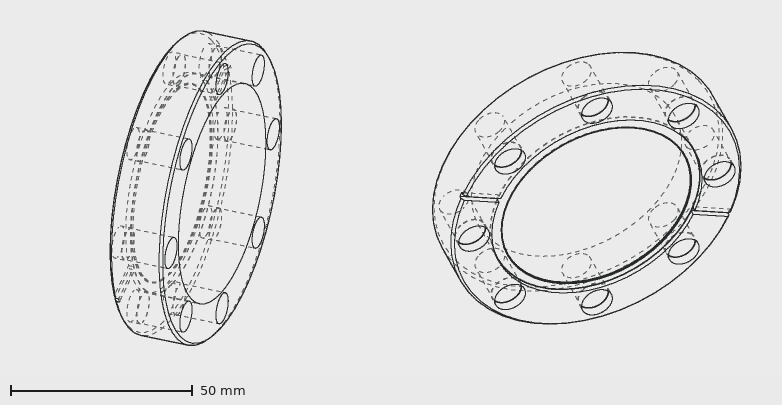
import cadquery as cq
import math

flange_diameter = 85.6
thickness = 15.75
front_x = -thickness / 2
rim_chamfer = 0.8

hole_count = 8
bolt_circle_radius = 36.2
hole_radius = 4.4
counterbore_radius = 4.5
counterbore_depth = 2.9

groove_width = 1.4
groove_depth = 1.6
groove_angle = 22.5

bore_radius = 31.0
seat_land = 0.2
cone_foot_radius = bore_radius - seat_land
knife_radius = 28.1
knife_land = 0.25
knife_slope = 20.0
seat_depth = 1.45
knife_height = (cone_foot_radius - knife_radius) * math.tan(math.radians(knife_slope))
center_recess_depth = 0.4


def x_cylinder(radius, length, start_x):
    """Cylinder about the X axis, running toward +X from start_x."""
    return cq.Workplane("YZ", origin=(start_x, 0, 0)).circle(radius).extrude(length)


def bolt_hole_cutter():
    """Counterbored holes, evenly spaced on the bolt circle."""
    def holes(radius, depth):
        return (
            cq.Workplane("YZ", origin=(front_x, 0, 0))
            .polarArray(bolt_circle_radius, 0, 360, hole_count)
            .circle(radius)
            .extrude(depth)
        )

    return holes(hole_radius, thickness).union(holes(counterbore_radius, counterbore_depth))


def groove_cutter():
    """One bar across the whole face, leaving two opposite grooves in the ring."""
    return (
        cq.Workplane("YZ", origin=(front_x, 0, 0))
        .rect(flange_diameter, groove_width)
        .extrude(groove_depth)
        .rotate((0, 0, 0), (1, 0, 0), groove_angle)
    )


def make_ring():
    """Chamfered outer ring with bolt holes and leak-check grooves."""
    blank = x_cylinder(flange_diameter / 2, thickness, front_x).faces("<X or >X").chamfer(rim_chamfer)
    bored = blank.cut(x_cylinder(bore_radius, thickness, front_x))
    return bored.cut(bolt_hole_cutter()).cut(groove_cutter())


def make_insert():
    """Round insert filling the bore, with an annular knife edge on its front."""
    back_x = thickness / 2
    foot_x = front_x + seat_depth
    tip_x = foot_x - knife_height
    center_x = tip_x + center_recess_depth
    half_section = (
        cq.Workplane("XY")
        .moveTo(back_x, 0)
        .lineTo(back_x, bore_radius)
        .lineTo(foot_x, bore_radius)
        .lineTo(foot_x, cone_foot_radius)
        .lineTo(tip_x, knife_radius)
        .lineTo(tip_x, knife_radius - knife_land)
        .lineTo(center_x, knife_radius - knife_land)
        .lineTo(center_x, 0)
        .close()
    )
    return half_section.revolve(360, (0, 0, 0), (1, 0, 0))


ring = make_ring()
insert = make_insert()

result = cq.Compound.makeCompound([ring.val(), insert.val()])